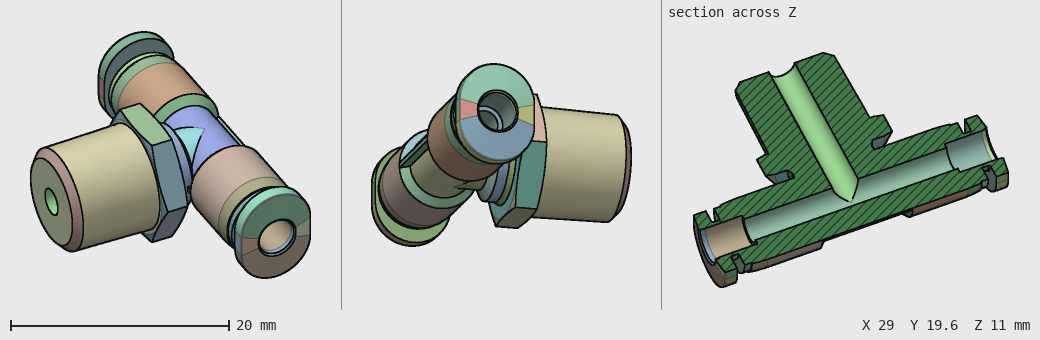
import cadquery as cq
import math


overall_length = 29.0
body_radius = 3.8
body_end_x = 12.2
lip_end_x = 11.5
crown_end_x = 10.03
lip_radius = 3.55
crown_start_radius = 3.65
waist_radius = 3.02
shoulder_x = 4.52
waist_half_length = shoulder_x - (body_radius - waist_radius)
web_thickness = 0.5

ring_half_width = 3.6
ring_half_height = 4.6
ring_outer_x = overall_length / 2
ring_rim_x = 14.2
ring_inner_x = 12.95
ring_rim_fillet = 0.1
sleeve_radius = 2.15
sleeve_root_radius = 2.23
sleeve_root_x = 12.82

bore_radius = 1.28
mouth_radius = 2.0
socket_radius = 1.75
throat_radius = 1.8
mouth_depth = 0.17
throat_depth = 0.65
socket_depth = 4.35

collar_cone_start = 2.73
collar_cone_end = 3.3
collar_radius = 4.0
collar_flare_start = 4.3
collar_flare_radius = 4.25

hex_across_flats = 11.0
hex_start = 4.8
hex_end = 7.28
hex_chamfer_inner_radius = 5.48
hex_chamfer_depth = 0.2
hex_corner_radius = hex_across_flats / math.sqrt(3)

branch_end = 15.8
thread_root_radius = 5.1
thread_tip_radius = 4.95
tip_chamfer_start = 15.08
tip_face_radius = 4.18


def stadium(x, scale):
    """Closed stadium outline, long along Z, in the plane at the given X."""
    width = ring_half_width * scale
    flat = (ring_half_height - ring_half_width) * scale
    return (
        cq.Workplane("YZ", origin=(x, 0, 0))
        .moveTo(width, -flat)
        .lineTo(width, flat)
        .threePointArc((0, ring_half_height * scale), (-width, flat))
        .lineTo(-width, -flat)
        .threePointArc((0, -ring_half_height * scale), (width, -flat))
        .close()
    )


def mirrored_pair(right_side):
    """The +X solid together with its copy on the -X side."""
    return right_side.union(right_side.mirror("YZ"))


def make_run_half():
    """Revolved +X half of the run, from the waist out to the release ring."""
    arc_length = lip_end_x - crown_end_x
    crown_drop = body_radius - crown_start_radius
    crown_middle = (crown_end_x + arc_length / 2, body_radius - crown_drop / 4)
    return (
        cq.Workplane("XY")
        .moveTo(0, 0)
        .lineTo(0, waist_radius)
        .lineTo(waist_half_length, waist_radius)
        .lineTo(shoulder_x, body_radius)
        .lineTo(crown_end_x, body_radius)
        .threePointArc(crown_middle, (lip_end_x, crown_start_radius))
        .lineTo(lip_end_x, lip_radius)
        .lineTo(body_end_x, lip_radius)
        .lineTo(body_end_x, sleeve_radius)
        .lineTo(sleeve_root_x, sleeve_radius)
        .lineTo(ring_inner_x, sleeve_root_radius)
        .lineTo(ring_inner_x, 0)
        .close()
        .revolve(360, (0, 0, 0), (1, 0, 0))
    )


def make_release_ring():
    """Stadium-shaped ring with a shallow tapered face toward its mouth."""
    rim_thickness = ring_rim_x - ring_inner_x
    face_height = ring_outer_x - ring_rim_x
    mouth_scale = mouth_radius / ring_half_height
    rim = stadium(ring_inner_x, 1).extrude(rim_thickness)
    face = cq.Workplane(
        cq.Solid.makeLoft(
            [stadium(ring_rim_x, 1).val(), stadium(ring_rim_x + face_height, mouth_scale).val()],
            True,
        )
    )
    rim_edges = cq.selectors.BoxSelector(
        (ring_rim_x - 0.03, -5.8, -5.8), (ring_rim_x + 0.03, 5.8, 5.8)
    )
    return rim.union(face).edges(rim_edges).fillet(ring_rim_fillet)


def make_web():
    """Thin plate that fills the waist, its long edges lying on the body surface."""
    web_width = 2 * math.sqrt(body_radius**2 - (web_thickness / 2) ** 2)
    return cq.Workplane("XY").box(2 * shoulder_x, web_width, web_thickness)


def make_branch():
    """Revolved branch: stem, collar and tapered thread."""
    return (
        cq.Workplane("XY")
        .moveTo(0, 0)
        .lineTo(waist_radius, 0)
        .lineTo(waist_radius, -collar_cone_start)
        .lineTo(collar_radius, -collar_cone_end)
        .lineTo(collar_radius, -collar_flare_start)
        .lineTo(collar_flare_radius, -hex_start)
        .lineTo(collar_flare_radius, -hex_end)
        .lineTo(thread_root_radius, -hex_end)
        .lineTo(thread_tip_radius, -tip_chamfer_start)
        .lineTo(tip_face_radius, -branch_end)
        .lineTo(0, -branch_end)
        .close()
        .revolve(360, (0, 0, 0), (0, 1, 0))
    )


def make_hexagon():
    """Hexagon with corners on X and conically chamfered ends."""
    prism = (
        cq.Workplane("XZ", origin=(0, -hex_start, 0))
        .polygon(6, 2 * hex_corner_radius)
        .extrude(hex_end - hex_start)
    )
    envelope = (
        cq.Workplane("XY")
        .moveTo(0, -hex_start)
        .lineTo(hex_chamfer_inner_radius, -hex_start)
        .lineTo(hex_corner_radius, -hex_start - hex_chamfer_depth)
        .lineTo(hex_corner_radius, -hex_end + hex_chamfer_depth)
        .lineTo(hex_chamfer_inner_radius, -hex_end)
        .lineTo(0, -hex_end)
        .close()
        .revolve(360, (0, 0, 0), (0, 1, 0))
    )
    return prism.intersect(envelope)


def make_run_bore_half():
    """Bore of the +X half: passage, tube socket, tapered throat and flared mouth."""
    return (
        cq.Workplane("XY")
        .moveTo(0, 0)
        .lineTo(0, bore_radius)
        .lineTo(ring_outer_x - socket_depth, bore_radius)
        .lineTo(ring_outer_x - socket_depth, socket_radius)
        .lineTo(ring_outer_x - throat_depth, socket_radius)
        .lineTo(ring_outer_x - mouth_depth, throat_radius)
        .lineTo(ring_outer_x, mouth_radius)
        .lineTo(ring_outer_x, 0)
        .close()
        .revolve(360, (0, 0, 0), (1, 0, 0))
    )


def make_branch_bore():
    """Straight passage from the run axis out through the thread tip."""
    return cq.Workplane("XZ").circle(bore_radius).extrude(branch_end)


run = mirrored_pair(make_run_half().union(make_release_ring()))
branch = make_branch().union(make_hexagon())
result = (
    run.union(make_web())
    .union(branch)
    .cut(mirrored_pair(make_run_bore_half()))
    .cut(make_branch_bore())
)